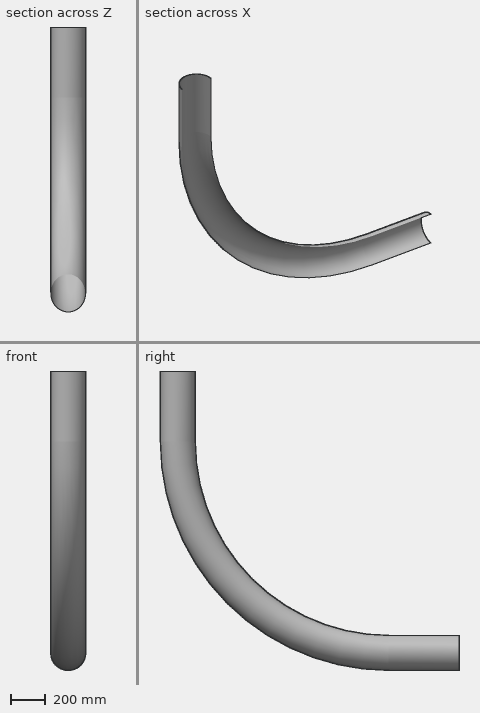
import cadquery as cq

overall_size = 1727.0
outer_diameter = 204.0
inner_diameter = 199.0
straight_length = 406.0

bend_radius = overall_size - outer_diameter / 2 - straight_length


def ring(plane):
    """Tube cross-section on the given plane."""
    return cq.Workplane(plane).circle(outer_diameter / 2).circle(inner_diameter / 2)


vertical_leg = ring(cq.Plane.XY(origin=(0, -bend_radius, 0))).extrude(straight_length)

horizontal_leg = ring(
    cq.Plane(origin=(0, 0, -bend_radius), xDir=(1, 0, 0), normal=(0, 1, 0))
).extrude(straight_length)

bend = ring(cq.Plane.XY(origin=(0, -bend_radius, 0))).revolve(
    90, (0, bend_radius, 0), (1, bend_radius, 0)
)

result = bend.union(vertical_leg).union(horizontal_leg)